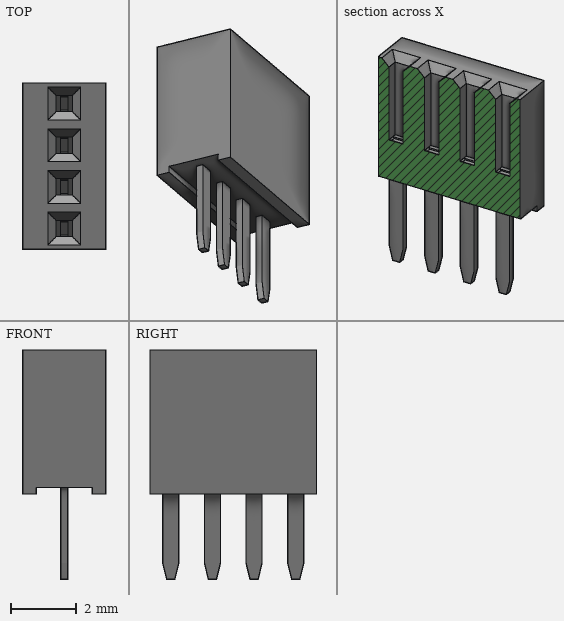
import cadquery as cq

total_height = 7.0
body_width = 2.54
body_length = 5.08
body_height = 4.4
contact_count = 4
pitch = body_length / contact_count

channel_width = 1.7
channel_depth = 0.2

socket_size = 0.5
funnel_size = 1.0
funnel_depth = (funnel_size - socket_size) / 2
socket_depth = 2.8

pin_width = socket_size
pin_thickness = 0.22
tip_width = 0.25
tip_height = 0.5

trough_depth = 0.05

body_top = total_height
body_bottom = total_height - body_height
channel_top = body_bottom + channel_depth
socket_floor = body_top - socket_depth

contact_positions = [(i - (contact_count - 1) / 2) * pitch for i in range(contact_count)]


def extrude_across_x(points, width):
    """Extrude a (Y, Z) outline along X, centred on X = 0."""
    return cq.Workplane("YZ").polyline(points).close().extrude(width / 2, both=True)


def make_housing():
    housing = cq.Workplane("XY", origin=(0, 0, body_bottom)).box(
        body_width, body_length, body_height, centered=(True, True, False)
    )
    channel = cq.Workplane("XY", origin=(0, 0, body_bottom)).box(
        channel_width, body_length, channel_depth, centered=(True, True, False)
    )
    return housing.cut(channel)


def make_socket(y):
    """Square hole with a funnel mouth and the contact trough in its floor."""
    hole = cq.Workplane("XY", origin=(0, y, socket_floor)).box(
        socket_size, socket_size, socket_depth, centered=(True, True, False)
    )
    funnel = (
        cq.Workplane("XY", origin=(0, y, body_top))
        .rect(funnel_size, funnel_size)
        .workplane(offset=-funnel_depth)
        .rect(socket_size, socket_size)
        .loft(ruled=True)
    )
    half_top = socket_size / 2
    half_bottom = half_top - trough_depth
    trough_bottom = socket_floor - trough_depth
    trough = extrude_across_x(
        [
            (y - half_top, socket_floor),
            (y - half_bottom, trough_bottom),
            (y + half_bottom, trough_bottom),
            (y + half_top, socket_floor),
        ],
        pin_thickness,
    )
    return hole.union(funnel).union(trough)


def make_pin(y):
    """Flat pin hanging from the channel roof, narrowing to its tip."""
    return extrude_across_x(
        [
            (y - pin_width / 2, channel_top),
            (y - pin_width / 2, tip_height),
            (y - tip_width / 2, 0),
            (y + tip_width / 2, 0),
            (y + pin_width / 2, tip_height),
            (y + pin_width / 2, channel_top),
        ],
        pin_thickness,
    )


result = make_housing()
for contact_y in contact_positions:
    result = result.cut(make_socket(contact_y)).union(make_pin(contact_y))